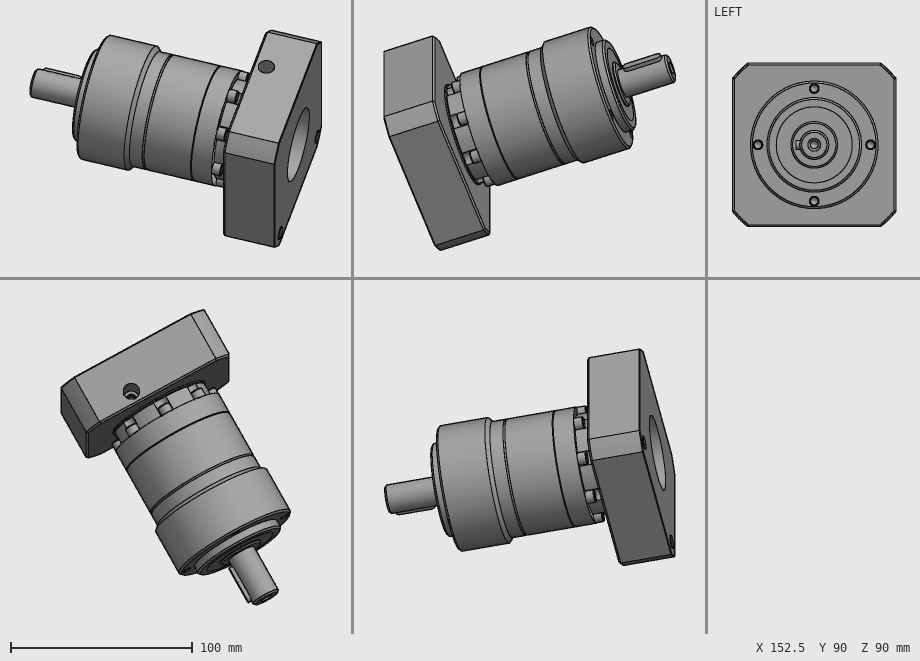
import cadquery as cq
import math


COLLAR_X = 28.5
PILOT_X = 29.9
FLANGE_X = 35.0
FLANGE_TAPER_X = 62.5
CASE_X = 64.8
CASE_END_X = 112.0
NECK_END_X = 121.5
ADAPTER_X = 122.3
ADAPTER_END_X = 152.0
OVERALL_LENGTH = 152.5

EDGE_CHAMFER = 1.0

SHAFT_DIAMETER = 16.0
SHAFT_RADIUS = SHAFT_DIAMETER / 2
COLLAR_RADIUS = 12.8
COLLAR_CHAMFER = 0.9
SHAFT_DISC_RADIUS = 20.9
CENTRE_HOLE_DIAMETER = 4.3
CENTRE_HOLE_MOUTH = 7.0
CENTRE_HOLE_DEPTH = 12.2
CENTRE_CONE_ANGLE = 60.0

KEY_WIDTH = 5.0
KEY_LENGTH = 22.1
KEY_START_X = 2.7
KEY_TOP = 9.9
KEY_HEIGHT = KEY_WIDTH

PILOT_DIAMETER = 52.0
PILOT_RADIUS = PILOT_DIAMETER / 2
FLANGE_RADIUS = 35.0
CASE_RADIUS = 32.5
NECK_RADIUS = 28.4
NECK_CHAMFER = 0.5
GROOVE_DEPTH = 0.3
FRONT_GROOVE_X = 72.1
FRONT_GROOVE_WIDTH = 1.0
REAR_GROOVE_X = 99.9
REAR_GROOVE_WIDTH = 0.5

MOUNT_HOLE_COUNT = 4
MOUNT_CIRCLE_RADIUS = 31.0
MOUNT_HOLE_DIAMETER = 4.1
MOUNT_HOLE_MOUTH = 5.3
MOUNT_HOLE_DEPTH = 12.2
COUNTERSINK_ANGLE = 90.0
DRILL_POINT_ANGLE = 118.0

SCREW_COUNT = 8
SCREW_CIRCLE_RADIUS = 29.0
SCREW_HEAD_DIAMETER = 2 * (CASE_RADIUS - SCREW_CIRCLE_RADIUS)
SCREW_HEAD_HEIGHT = 5.0
SCREW_HEAD_CHAMFER = 0.5
SCREW_NOTCH_DIAMETER = 8.0

ADAPTER_SIDE = 90.0
ADAPTER_CORNER_RADIUS = 58.0
ADAPTER_REAR_CHAMFER = 0.5
ADAPTER_COLLAR_RADIUS = 28.8
MOTOR_BORE_RADIUS = 20.9
MOTOR_BORE_DEPTH = 26.0
ACCESS_X = 129.8
ACCESS_Y = 13.0
ACCESS_DIAMETER = 8.8
ACCESS_FLOOR_Z = 22.9
ACCESS_STEP_DIAMETER = 5.3
ACCESS_STEP_DEPTH = 0.8
ACCESS_INNER_DIAMETER = 4.1
PAD_DIAMETER = 7.3
PAD_OFFSET = 35.4


def disc(radius, start_x, end_x):
    """Cylinder on the X axis."""
    return cq.Workplane("YZ", origin=(start_x, 0, 0)).circle(radius).extrude(end_x - start_x)


def revolved(outline):
    """Solid of revolution about X from (x, radius) points that start and end on the axis."""
    return cq.Workplane("XY").polyline(outline).close().revolve(360, (0, 0, 0), (1, 0, 0))


def drilled_hole(face_x, diameter, mouth, mouth_angle, depth):
    """Blind hole along +X with a conical mouth and a drill point, centred on the X axis."""
    radius = diameter / 2
    mouth_radius = mouth / 2
    mouth_depth = (mouth_radius - radius) / math.tan(math.radians(mouth_angle / 2))
    point_depth = radius / math.tan(math.radians(DRILL_POINT_ANGLE / 2))
    outline = [
        (face_x, 0),
        (face_x, mouth_radius),
        (face_x + mouth_depth, radius),
        (face_x + depth, radius),
        (face_x + depth + point_depth, 0),
    ]
    return revolved(outline)


def on_circle(shape, count, radius):
    """Copies of an on-axis shape, spread evenly around X, one of them at +Z."""
    raised = shape.translate((0, 0, radius))
    return [raised.rotate((0, 0, 0), (1, 0, 0), i * 360 / count) for i in range(count)]


def make_key():
    bottom = KEY_TOP - KEY_HEIGHT
    centre_x = KEY_START_X + KEY_LENGTH / 2
    return (
        cq.Workplane("XZ", origin=(centre_x, bottom, 0))
        .slot2D(KEY_LENGTH, KEY_WIDTH)
        .extrude(-KEY_HEIGHT)
    )


def make_shaft(key):
    shaft = revolved([
        (0, 0),
        (0, SHAFT_RADIUS - EDGE_CHAMFER),
        (EDGE_CHAMFER, SHAFT_RADIUS),
        (COLLAR_X, SHAFT_RADIUS),
        (COLLAR_X, COLLAR_RADIUS - COLLAR_CHAMFER),
        (COLLAR_X + COLLAR_CHAMFER, COLLAR_RADIUS),
        (PILOT_X, COLLAR_RADIUS),
        (PILOT_X, SHAFT_DISC_RADIUS),
        (FLANGE_X, SHAFT_DISC_RADIUS),
        (FLANGE_X, 0),
    ])
    centre_hole = drilled_hole(
        0, CENTRE_HOLE_DIAMETER, CENTRE_HOLE_MOUTH, CENTRE_CONE_ANGLE, CENTRE_HOLE_DEPTH
    )
    return shaft.cut(centre_hole).cut(key)


def groove(start_x, width):
    """Ring that cuts a shallow groove into the gear case."""
    ring = disc(FLANGE_RADIUS, start_x, start_x + width)
    return ring.cut(disc(CASE_RADIUS - GROOVE_DEPTH, start_x, start_x + width))


def make_housing():
    housing = revolved([
        (PILOT_X, 0),
        (PILOT_X, PILOT_RADIUS - EDGE_CHAMFER),
        (PILOT_X + EDGE_CHAMFER, PILOT_RADIUS),
        (FLANGE_X, PILOT_RADIUS),
        (FLANGE_X, FLANGE_RADIUS - EDGE_CHAMFER),
        (FLANGE_X + EDGE_CHAMFER, FLANGE_RADIUS),
        (FLANGE_TAPER_X, FLANGE_RADIUS),
        (CASE_X, CASE_RADIUS),
        (CASE_END_X, CASE_RADIUS),
        (CASE_END_X, NECK_RADIUS),
        (NECK_END_X - NECK_CHAMFER, NECK_RADIUS),
        (NECK_END_X, NECK_RADIUS - NECK_CHAMFER),
        (NECK_END_X, 0),
    ])

    housing = housing.cut(disc(SHAFT_DISC_RADIUS, PILOT_X, FLANGE_X))

    housing = housing.cut(groove(FRONT_GROOVE_X, FRONT_GROOVE_WIDTH))
    housing = housing.cut(groove(REAR_GROOVE_X, REAR_GROOVE_WIDTH))

    mount_hole = drilled_hole(
        FLANGE_X, MOUNT_HOLE_DIAMETER, MOUNT_HOLE_MOUTH, COUNTERSINK_ANGLE, MOUNT_HOLE_DEPTH
    )
    for hole in on_circle(mount_hole, MOUNT_HOLE_COUNT, MOUNT_CIRCLE_RADIUS):
        housing = housing.cut(hole)

    notch = disc(SCREW_NOTCH_DIAMETER / 2, CASE_END_X, NECK_END_X)
    for cutter in on_circle(notch, SCREW_COUNT, SCREW_CIRCLE_RADIUS):
        housing = housing.cut(cutter)
    head = disc(SCREW_HEAD_DIAMETER / 2, CASE_END_X, CASE_END_X + SCREW_HEAD_HEIGHT)
    head = head.faces(">X").chamfer(SCREW_HEAD_CHAMFER)
    for screw_head in on_circle(head, SCREW_COUNT, SCREW_CIRCLE_RADIUS):
        housing = housing.union(screw_head)
    return housing


def make_adapter():
    block = (
        cq.Workplane("YZ", origin=(ADAPTER_X, 0, 0))
        .rect(ADAPTER_SIDE, ADAPTER_SIDE)
        .extrude(ADAPTER_END_X - ADAPTER_X)
        .intersect(disc(ADAPTER_CORNER_RADIUS, ADAPTER_X, ADAPTER_END_X))
    )
    block = block.faces("<X").chamfer(EDGE_CHAMFER)
    block = block.faces(">X").chamfer(ADAPTER_REAR_CHAMFER)
    adapter = block.union(disc(ADAPTER_COLLAR_RADIUS, NECK_END_X, ADAPTER_X))

    pad = disc(PAD_DIAMETER / 2, ADAPTER_END_X, OVERALL_LENGTH)
    for side in (-1, 1):
        adapter = adapter.union(pad.translate((0, side * PAD_OFFSET, -PAD_OFFSET)))

    adapter = adapter.cut(disc(MOTOR_BORE_RADIUS, ADAPTER_END_X - MOTOR_BORE_DEPTH, ADAPTER_END_X))

    top_z = ADAPTER_SIDE / 2
    step_z = ACCESS_FLOOR_Z - ACCESS_STEP_DEPTH
    for diameter, floor_z in (
        (ACCESS_DIAMETER, ACCESS_FLOOR_Z),
        (ACCESS_STEP_DIAMETER, step_z),
        (ACCESS_INNER_DIAMETER, 0),
    ):
        drill = (
            cq.Workplane("XY", origin=(ACCESS_X, ACCESS_Y, floor_z))
            .circle(diameter / 2)
            .extrude(top_z - floor_z)
        )
        adapter = adapter.cut(drill)
    return adapter


key = make_key()
shaft = make_shaft(key)
housing = make_housing()
adapter = make_adapter()

result = cq.Compound.makeCompound([key.val(), shaft.val(), housing.val(), adapter.val()])